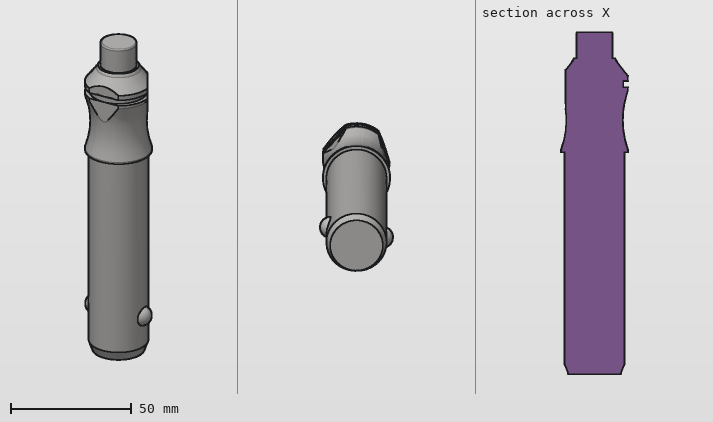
import cadquery as cq

total_length = 142.0
shank_radius = 12.5
tip_radius = 11.0
handle_diameter = 28.0
handle_radius = handle_diameter / 2
waist_radius = 11.8
button_radius = 7.5
flat_distance = 12.1
groove_radius = flat_distance
shoulder_radius = 8.5
bevel_radius = 9.2

tip_height = 4.3
ball_height = 18.0
handle_bottom = 92.2
lower_rim_height = 0.9
waist_height = 105.5
groove_bottom = 119.2
groove_width = 2.5
upper_rim_height = 2.1
shoulder_top = 131.3
bevel_height = 1.3
button_fillet = 0.5

ball_radius = 4.4
ball_span = 30.8

flat_count = 3

waist_bottom = handle_bottom + lower_rim_height
waist_top = 2 * waist_height - waist_bottom
groove_top = groove_bottom + groove_width
cone_bottom = groove_top + upper_rim_height


def make_shank():
    """Round shank with a tapered tip, reaching up to the handle."""
    return (
        cq.Workplane("XZ")
        .lineTo(tip_radius, 0)
        .lineTo(shank_radius, tip_height)
        .lineTo(shank_radius, handle_bottom)
        .lineTo(0, handle_bottom)
        .close()
        .revolve(360, (0, 0, 0), (0, 1, 0))
    )


def make_handle():
    """Waisted handle with a groove below its conical top."""
    return (
        cq.Workplane("XZ")
        .moveTo(0, handle_bottom)
        .lineTo(handle_radius, handle_bottom)
        .lineTo(handle_radius, waist_bottom)
        .threePointArc((waist_radius, waist_height), (handle_radius, waist_top))
        .lineTo(handle_radius, groove_bottom)
        .lineTo(groove_radius, groove_bottom)
        .lineTo(groove_radius, groove_top)
        .lineTo(handle_radius, groove_top)
        .lineTo(handle_radius, cone_bottom)
        .lineTo(bevel_radius, shoulder_top - bevel_height)
        .lineTo(shoulder_radius, shoulder_top)
        .lineTo(0, shoulder_top)
        .close()
        .revolve(360, (0, 0, 0), (0, 1, 0))
    )


def cut_flats(handle):
    """Cut equally spaced flats above the waist, the first one facing -Y."""
    cutter_depth = handle_radius
    cutter = cq.Workplane("XY").box(
        2 * handle_radius,
        cutter_depth,
        shoulder_top - waist_height,
        centered=(True, True, False),
    ).translate((0, -flat_distance - cutter_depth / 2, waist_height))
    for index in range(flat_count):
        angle = index * 360 / flat_count
        handle = handle.cut(cutter.rotate((0, 0, 0), (0, 0, 1), angle))
    return handle


def make_button():
    """Push button standing on the handle's shoulder."""
    return (
        cq.Workplane("XY", origin=(0, 0, shoulder_top))
        .circle(button_radius)
        .extrude(total_length - shoulder_top)
        .faces(">Z")
        .fillet(button_fillet)
    )


def add_balls(body):
    """Locking balls protruding on opposite sides of the shank."""
    for side in (-1, 1):
        ball_center = (side * (ball_span / 2 - ball_radius), 0, ball_height)
        body = body.union(cq.Workplane("XY").sphere(ball_radius).translate(ball_center))
    return body


pin = make_shank().union(cut_flats(make_handle())).union(make_button())
result = add_balls(pin)